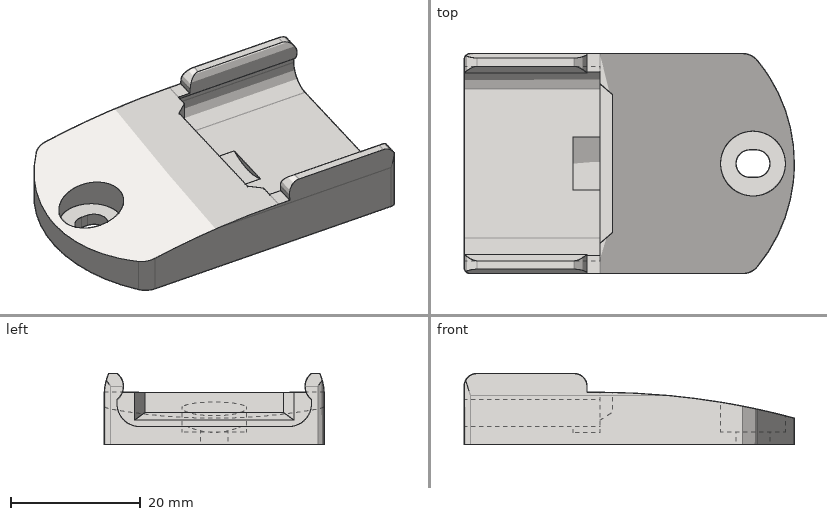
import cadquery as cq
import math

LENGTH = 51.0
WIDTH = 34.0
HEIGHT = 11.0
HALF_WIDTH = WIDTH / 2
OPEN_CORNER_RADIUS = 1.0

NOSE_RADIUS = 25.0
NOSE_BLEND_RADIUS = 3.0

CHANNEL_LENGTH = 21.0
CHANNEL_HALF_WIDTH = 15.0
FLOOR_HEIGHT = 2.8
FLOOR_CORNER_RADIUS = 3.5
LIP_REACH = 1.0
LIP_HALF_HEIGHT = 2.0

RAIL_LENGTH = 19.0
RAIL_END_RADIUS = 2.0
RAIL_CROWN_HALF_WIDTH = 16.3
SIDE_CURVE_START = 7.6

DECK_HEIGHT = 8.1
NOSE_HEIGHT = 4.1

POCKET_DEPTH = 1.9
POCKET_FRONT_HALF_WIDTH = 12.3
POCKET_BACK_HALF_WIDTH = 10.65
POCKET_FRONT_HEIGHT = 3.8
POCKET_BACK_HEIGHT = 5.0

HOLLOW_LENGTH = 4.15
HOLLOW_WIDTH = 8.15
HOLLOW_DEPTH = 0.9

SLOT_X = 44.6
SLOT_LENGTH = 5.2
SLOT_WIDTH = 4.2
COUNTERBORE_DIAMETER = 10.0
COUNTERBORE_FLOOR = 2.0


def tangent_arc_radius(rise, run):
    """Radius of an arc that leaves its tangent by `rise` after travelling `run` along it."""
    return (run**2 + rise**2) / (2 * rise)


def plan_body():
    """Full-height block with the plan outline: straight sides and a rounded nose."""
    nose_centre_x = LENGTH - NOSE_RADIUS
    nose_side_x = nose_centre_x + math.sqrt(NOSE_RADIUS**2 - HALF_WIDTH**2)
    return (
        cq.Workplane("XY")
        .moveTo(0, -HALF_WIDTH)
        .lineTo(nose_side_x, -HALF_WIDTH)
        .threePointArc((LENGTH, 0), (nose_side_x, HALF_WIDTH))
        .lineTo(0, HALF_WIDTH)
        .close()
        .extrude(HEIGHT)
        .edges("|Z").edges(">X")
        .fillet(NOSE_BLEND_RADIUS)
        .edges("|Z").edges("<X")
        .fillet(OPEN_CORNER_RADIUS)
    )


def side_envelope():
    """Cross-section along X whose upper sides curve inward towards the rail crowns."""
    rise = HEIGHT - SIDE_CURVE_START
    inset = HALF_WIDTH - RAIL_CROWN_HALF_WIDTH
    radius = tangent_arc_radius(inset, rise)
    mid_z = SIDE_CURVE_START + rise / 2
    mid_y = HALF_WIDTH - radius + math.sqrt(radius**2 - (rise / 2) ** 2)
    return (
        cq.Workplane("YZ")
        .moveTo(-HALF_WIDTH, 0)
        .lineTo(HALF_WIDTH, 0)
        .lineTo(HALF_WIDTH, SIDE_CURVE_START)
        .threePointArc((mid_y, mid_z), (RAIL_CROWN_HALF_WIDTH, HEIGHT))
        .lineTo(-RAIL_CROWN_HALF_WIDTH, HEIGHT)
        .threePointArc((-mid_y, mid_z), (-HALF_WIDTH, SIDE_CURVE_START))
        .close()
        .extrude(LENGTH)
    )


def top_envelope():
    """Lengthwise profile: rails with rounded ends, flat shoulder and crowned deck."""
    run = LENGTH - CHANNEL_LENGTH
    radius = tangent_arc_radius(DECK_HEIGHT - NOSE_HEIGHT, run)
    mid_x = CHANNEL_LENGTH + run / 2
    mid_z = DECK_HEIGHT - radius + math.sqrt(radius**2 - (run / 2) ** 2)
    deck = (
        cq.Workplane("XZ")
        .lineTo(LENGTH, 0)
        .lineTo(LENGTH, NOSE_HEIGHT)
        .threePointArc((mid_x, mid_z), (CHANNEL_LENGTH, DECK_HEIGHT))
        .lineTo(0, DECK_HEIGHT)
        .close()
        .extrude(HALF_WIDTH, both=True)
    )
    rails = (
        cq.Workplane("XY")
        .box(RAIL_LENGTH, WIDTH, HEIGHT, centered=(False, True, False))
        .edges("|Y and >Z")
        .fillet(RAIL_END_RADIUS)
    )
    return deck.union(rails)


def channel():
    """Round-cornered groove narrowed at its mouth by a rounded lip on each rail."""
    lip_y = CHANNEL_HALF_WIDTH - LIP_REACH
    lip_centre_height = HEIGHT - LIP_HALF_HEIGHT
    lip_bottom = lip_centre_height - LIP_HALF_HEIGHT
    groove = (
        cq.Workplane("YZ")
        .rect(2 * CHANNEL_HALF_WIDTH, 2 * (HEIGHT - FLOOR_HEIGHT))
        .extrude(CHANNEL_LENGTH)
        .edges("|X and <Z")
        .fillet(FLOOR_CORNER_RADIUS)
        .translate((0, 0, HEIGHT))
    )
    for side in (-1, 1):
        lip = (
            cq.Workplane("YZ")
            .moveTo(side * CHANNEL_HALF_WIDTH, lip_bottom)
            .threePointArc((side * lip_y, lip_centre_height), (side * CHANNEL_HALF_WIDTH, HEIGHT))
            .close()
            .extrude(CHANNEL_LENGTH)
        )
        groove = groove.cut(lip)
    return groove


def end_wall_pocket():
    """Open-topped pocket whose sides and bottom taper in away from the channel."""
    back_x = CHANNEL_LENGTH + POCKET_DEPTH
    plan = (
        cq.Workplane("XY")
        .moveTo(CHANNEL_LENGTH, -POCKET_FRONT_HALF_WIDTH)
        .lineTo(back_x, -POCKET_BACK_HALF_WIDTH)
        .lineTo(back_x, POCKET_BACK_HALF_WIDTH)
        .lineTo(CHANNEL_LENGTH, POCKET_FRONT_HALF_WIDTH)
        .close()
        .extrude(HEIGHT)
    )
    profile = (
        cq.Workplane("XZ")
        .moveTo(CHANNEL_LENGTH, POCKET_FRONT_HEIGHT)
        .lineTo(back_x, POCKET_BACK_HEIGHT)
        .lineTo(back_x, HEIGHT)
        .lineTo(CHANNEL_LENGTH, HEIGHT)
        .close()
        .extrude(HALF_WIDTH, both=True)
    )
    return plan.intersect(profile)


def floor_hollow():
    """Shallow cylindrical hollow with its axis along X."""
    half_width = HOLLOW_WIDTH / 2
    return (
        cq.Workplane("YZ", origin=(CHANNEL_LENGTH - HOLLOW_LENGTH, 0, FLOOR_HEIGHT))
        .moveTo(-half_width, 0)
        .threePointArc((0, -HOLLOW_DEPTH), (half_width, 0))
        .close()
        .extrude(HOLLOW_LENGTH)
    )


def counterbored_slot():
    """Through slot along X below a round counterbore."""
    slot = cq.Workplane("XY").center(SLOT_X, 0).slot2D(SLOT_LENGTH, SLOT_WIDTH).extrude(HEIGHT)
    counterbore = (
        cq.Workplane("XY", origin=(SLOT_X, 0, COUNTERBORE_FLOOR))
        .circle(COUNTERBORE_DIAMETER / 2)
        .extrude(HEIGHT)
    )
    return slot.union(counterbore)


result = (
    plan_body()
    .intersect(side_envelope())
    .intersect(top_envelope())
    .cut(channel())
    .cut(end_wall_pocket())
    .cut(floor_hollow())
    .cut(counterbored_slot())
)